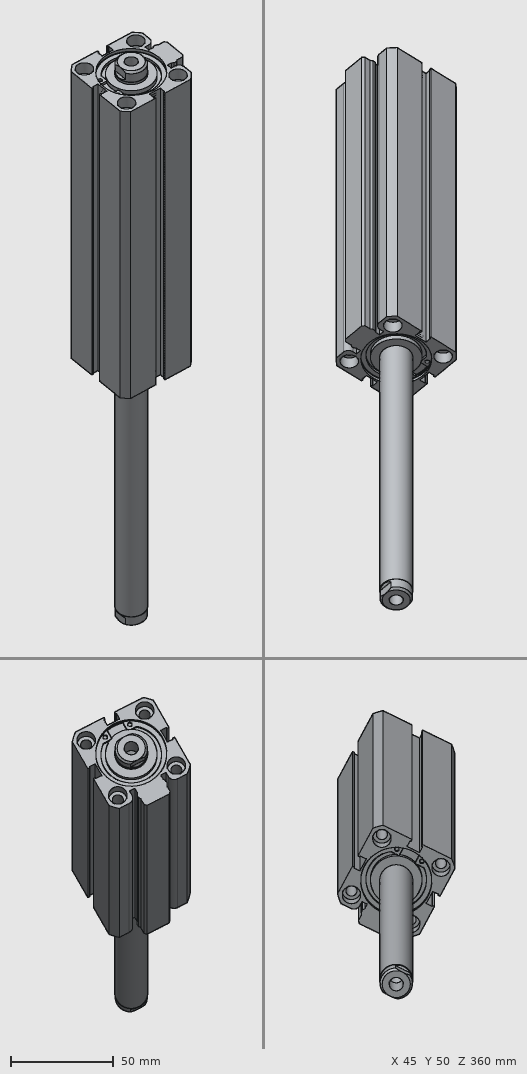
import cadquery as cq
import math

total_length = 360.0
body_width = 45.0
half_width = body_width / 2
total_depth = 50.0
lug_top = total_depth - half_width

body_length = 186.0
top_extension = 7.0
body_top = total_length - top_extension
body_bottom = body_top - body_length

corner_circle_diameter = 58.5
recess_half_width = 10.0
recess_floor = 17.0
pad_radius = 3.2
lug_half_width = 7.2
lug_chamfer = 1.0
bead_half_width = 8.0
bead_low = 20.5
bead_high = 22.0
bead_slope = 1.0

slot_depth = 4.5
slot_floor = half_width - slot_depth
slot_width = 7.0
slot_mouth_width = 5.8
slot_lip = 1.0

bolt_offset = 16.2
bolt_hole_diameter = 5.5
counterbore_diameter = 9.0
counterbore_depth = 7.0

bore_radius = 17.3
groove_radius = 17.5
ring_thickness = 1.5
ring_depth = 2.0
ring_inner_radius = 14.8
ring_gap = 8.5
ear_width = 7.2
ear_inner_edge = 11.5
ear_hole_radius = 1.0
ear_hole_x = 7.0
ear_hole_distance = 14.0
cover_length = 14.5
boss_radius = 12.5
boss_depth = 1.0

rod_diameter = 16.2
head_chamfer = 1.0
flat_spacing = 13.5
flat_length = 5.0
head_diameter = 16.0
head_length = 6.5
thread_radius = 3.42
thread_depth = 13.0
drill_point_angle = 118.0


def body_plane(height=body_bottom):
    return cq.Workplane("XY", origin=(0, 0, height))


def make_housing():
    housing = body_plane().rect(body_width, body_width).extrude(body_length)
    housing = cut_lug_recess(housing)
    housing = housing.intersect(body_plane().circle(corner_circle_diameter / 2).extrude(body_length))
    housing = housing.union(make_lug())
    housing = cut_slots(housing)
    housing = cut_bolt_holes(housing)
    return cut_bore(housing)


def cut_lug_recess(housing):
    recess_depth = half_width - recess_floor
    recess = body_plane().center(0, recess_floor + recess_depth / 2)
    recess = recess.rect(2 * recess_half_width, recess_depth).extrude(body_length)
    housing = housing.cut(recess)
    return housing.edges("(|Z and >Y) exc (<X or >X)").fillet(pad_radius)


def make_lug():
    right_side = [
        (lug_half_width, recess_floor),
        (lug_half_width, bead_low - bead_slope),
        (bead_half_width, bead_low),
        (bead_half_width, bead_high),
        (lug_half_width, bead_high + bead_slope),
        (lug_half_width, lug_top - lug_chamfer),
        (lug_half_width - lug_chamfer, lug_top),
    ]
    left_side = [(-x, y) for x, y in reversed(right_side)]
    return body_plane().polyline(right_side + left_side).close().extrude(body_length)


def cut_slots(housing):
    """Undercut slots along the full length of the three sides without the lug."""
    mouth = body_plane().center(slot_floor + slot_depth / 2, 0)
    mouth = mouth.rect(slot_depth, slot_mouth_width).extrude(body_length)
    inner_depth = slot_depth - slot_lip
    inner = body_plane().center(slot_floor + inner_depth / 2, 0)
    inner = inner.rect(inner_depth, slot_width).extrude(body_length)
    slot = mouth.union(inner)
    for angle in (0, 180, 270):
        housing = housing.cut(slot.rotate((0, 0, 0), (0, 0, 1), angle))
    return housing


def cut_bolt_holes(housing):
    corners = [(x, y) for x in (-bolt_offset, bolt_offset) for y in (-bolt_offset, bolt_offset)]
    bolt_holes = body_plane().pushPoints(corners).circle(bolt_hole_diameter / 2).extrude(body_length)
    housing = housing.cut(bolt_holes)
    for floor in (body_bottom, body_top - counterbore_depth):
        sink = body_plane(floor).pushPoints(corners).circle(counterbore_diameter / 2)
        housing = housing.cut(sink.extrude(counterbore_depth))
    return housing


def at_end(shape, top):
    """Move a shape built below Z = 0 to the upper body end, or mirror it to the lower one."""
    if top:
        return shape.translate((0, 0, body_top))
    return shape.mirror("XY").translate((0, 0, body_bottom))


def cut_bore(housing):
    housing = housing.cut(body_plane().circle(bore_radius).extrude(body_length))
    groove = cq.Workplane("XY", origin=(0, 0, -ring_depth)).circle(groove_radius).extrude(-ring_thickness)
    for top in (True, False):
        housing = housing.cut(at_end(groove, top))
    return housing


def make_cover(top):
    seat = ring_depth + ring_thickness
    cover = cq.Workplane("XY", origin=(0, 0, -seat)).circle(bore_radius).extrude(-cover_length)
    boss = cq.Workplane("XY", origin=(0, 0, -seat)).circle(boss_radius).extrude(seat - boss_depth)
    rod_hole = cq.Workplane("XY").circle(rod_diameter / 2).extrude(-seat - cover_length)
    return at_end(cover.union(boss).cut(rod_hole), top)


def make_retaining_ring(top):
    plane = cq.Workplane("XY", origin=(0, 0, -ring_depth))
    disc = plane.circle(groove_radius).extrude(-ring_thickness)
    ring = disc.cut(plane.circle(ring_inner_radius).extrude(-ring_thickness))

    ear_x = (ring_gap + ear_width) / 2
    ear_length = groove_radius - ear_inner_edge
    ear_y = -ear_inner_edge - ear_length / 2
    ears = plane.pushPoints([(-ear_x, ear_y), (ear_x, ear_y)]).rect(ear_width, ear_length)
    ring = ring.union(ears.extrude(-ring_thickness).intersect(disc))

    gap = plane.center(0, -groove_radius / 2).rect(ring_gap, groove_radius).extrude(-ring_thickness)
    boss_room = plane.circle(boss_radius).extrude(-ring_thickness)
    plier_holes = plane.pushPoints([(-ear_hole_x, -ear_hole_distance), (ear_hole_x, -ear_hole_distance)])
    plier_holes = plier_holes.circle(ear_hole_radius).extrude(-ring_thickness)
    return at_end(ring.cut(gap).cut(boss_room).cut(plier_holes), top)


def make_rod():
    rod = cq.Workplane("XY", origin=(0, 0, head_length)).circle(rod_diameter / 2)
    rod = rod.extrude(total_length - 2 * head_length)
    head = cq.Workplane("XY").circle(head_diameter / 2).extrude(head_length).faces("<Z").chamfer(head_chamfer)
    head = head.cut(make_wrench_flats())
    tapped_hole = make_tapped_hole()
    for end in (head, at_upper_rod_end(head)):
        rod = rod.union(end)
    for end in (tapped_hole, at_upper_rod_end(tapped_hole)):
        rod = rod.cut(end)
    return rod


def at_upper_rod_end(shape):
    return shape.mirror("XY").translate((0, 0, total_length))


def make_wrench_flats():
    """Cutter for the two flats of a head, facing -Y and +Y."""
    flat_y = flat_spacing / 2
    outer_y = rod_diameter / 2
    run_out_end = flat_length + outer_y - flat_y
    flat = (
        cq.Workplane("YZ", origin=(-outer_y, 0, 0))
        .polyline([(flat_y, 0), (outer_y, 0), (outer_y, run_out_end), (flat_y, flat_length)])
        .close().extrude(2 * outer_y)
    )
    return flat.union(flat.mirror("XZ"))


def make_tapped_hole():
    point_length = thread_radius / math.tan(math.radians(drill_point_angle / 2))
    tip = (0, thread_depth + point_length)
    half_section = [(0, 0), (thread_radius, 0), (thread_radius, thread_depth), tip]
    return cq.Workplane("XZ").polyline(half_section).close().revolve(360, (0, 0), (0, 1))


housing = make_housing()
rod = make_rod()
covers = [make_cover(top) for top in (True, False)]
rings = [make_retaining_ring(top) for top in (True, False)]

result = cq.Compound.makeCompound([
    housing.solids().val(),
    rod.solids().val(),
    *[cover.solids().val() for cover in covers],
    *[ring.solids().val() for ring in rings],
])